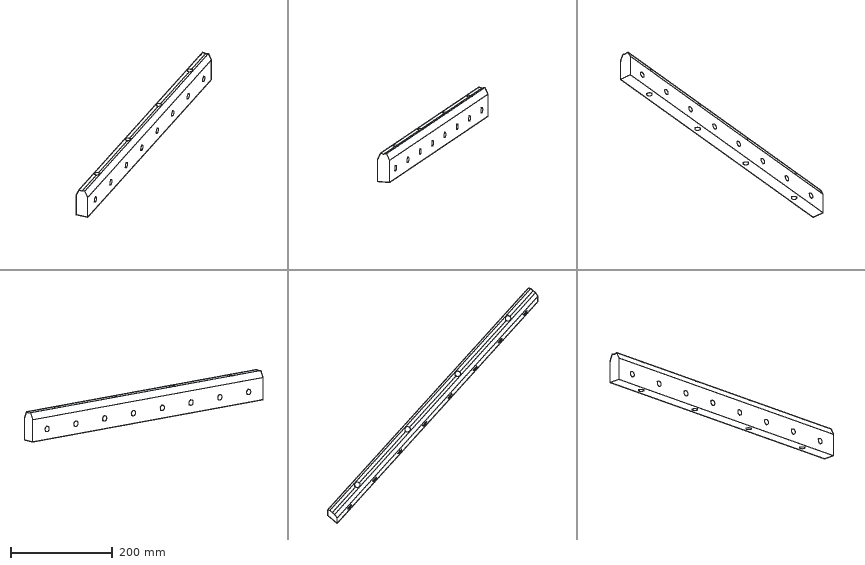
import cadquery as cq

WIDTH = 25.0
LENGTH = 600.0
HEIGHT = 58.0

SHOULDER_HEIGHT = 45.0
CROWN_WIDTH = 12.5
GROOVE_DEPTH = 2.0

HOLE_DIAMETER = 11.0
SIDE_HOLE_HEIGHT = 21.0
SIDE_HOLE_COUNT = 8
TOP_HOLE_COUNT = 4


def grooved_bar():
    """Extrude the cross-section along the length, centred on Y = 0."""
    half_width = WIDTH / 2
    half_crown = CROWN_WIDTH / 2
    return (
        cq.Workplane("XZ")
        .moveTo(-half_width, 0)
        .lineTo(half_width, 0)
        .lineTo(half_width, SHOULDER_HEIGHT)
        .lineTo(half_crown, HEIGHT)
        .lineTo(0, HEIGHT - GROOVE_DEPTH)
        .lineTo(-half_crown, HEIGHT)
        .lineTo(-half_width, SHOULDER_HEIGHT)
        .close()
        .extrude(LENGTH / 2, both=True)
    )


def hole_positions(count):
    """Y positions with half a pitch left at each end of the bar."""
    pitch = LENGTH / count
    return [(i + 0.5) * pitch - LENGTH / 2 for i in range(count)]


def side_holes():
    """Cylinders crossing the full width along X."""
    points = [(y, SIDE_HOLE_HEIGHT) for y in hole_positions(SIDE_HOLE_COUNT)]
    return cq.Workplane("YZ").pushPoints(points).circle(HOLE_DIAMETER / 2).extrude(WIDTH / 2, both=True)


def top_holes():
    """Cylinders crossing the full height along Z."""
    points = [(0, y) for y in hole_positions(TOP_HOLE_COUNT)]
    return cq.Workplane("XY").pushPoints(points).circle(HOLE_DIAMETER / 2).extrude(HEIGHT)


result = grooved_bar().cut(side_holes()).cut(top_holes())